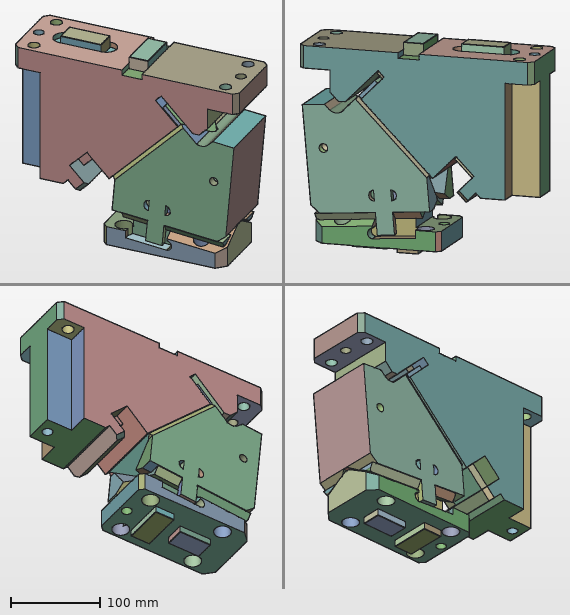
import cadquery as cq
import math


HALF_WIDTH = 42.5
OVERALL_LENGTH = 277.0
OVERALL_HEIGHT = 243.0
KEY_PROJECTION = 8.5
KEY_CHAMFER = 0.5
CROSS_KEY_HALF = 25.0
LONG_KEY_HALF = 12.0

FLANGE_TOP = OVERALL_HEIGHT - KEY_PROJECTION
FLANGE_THICKNESS = 26.0
FLANGE_BOTTOM = FLANGE_TOP - FLANGE_THICKNESS
FLANGE_CHAMFER = 6.0
HOUSING_BOTTOM = 74.1
TONGUE_LENGTH = 33.0
TONGUE_HALF = 17.5
NOSE_X = 240.0
NOSE_CORNER_Z = 183.4
NOSE_CHAMFER = 10.0
KEY_SEAT_DEPTH = 6.5
CROSS_KEY_START = 135.0
CROSS_KEY_END = 158.5
CROSS_SEAT_CLEARANCE = 0.6
LONG_KEY_START = 44.3
LONG_KEY_END = 94.5
LONG_SEAT_START = 30.6
LONG_SEAT_END = 108.0
LONG_SEAT_WIDTH = 25.0
SCREW_DIAMETER = 13.5
DOWEL_DIAMETER = 12.0
SCREW_OFFSET_Y = 30.0
SCREW_INSETS = (19.7, 20.3)
DOWEL_INSETS = (12.0, 15.3)

GUIDE_ANGLE = math.radians(45)
GUIDE_X = 125.4
GUIDE_Z = 93.1
GUIDE_LENGTH = 119.7
GUIDE_GAP = 4.7
VEE_SLOPE = 0.90
EDGE_BEVEL_ANGLE = math.radians(60)
VEE_HALF = HALF_WIDTH - GUIDE_GAP / math.tan(EDGE_BEVEL_ANGLE)
VEE_FLAT_HALF = 3.0
STRIP_HALF = 41.0
CORE_HALF = 22.0
HOUSING_FACE_START = -5.1
SLOT_START = GUIDE_LENGTH - GUIDE_GAP
SLOT_END = SLOT_START + 10.0
POCKET_START = -35.3
POCKET_DEPTH = 43.5
CORE_DEPTH = 32.0
BEAK_TIP = 13.4
BEAK_THICKNESS = 15.0
BEAK_ROOT = 31.5
BEAK_CHAMFER = 4.9

TILT = math.radians(5)
SLIDER_X = 122.0
SLIDER_Z = 54.1
SLIDER_RUN = 140.4
SLIDER_RISE = 125.0
SLIDER_CORNER = 10.0
SLIDER_TOP_RUN = 114.1
RELIEF_START = (240.0, 162.5)
RELIEF_MIDDLE = (233.1, 159.8)
RELIEF_END_PAST_GUIDE = -23.4
CROSS_HOLE = (247.7, 118.3)
CROSS_HOLE_DIAMETER = 10.0
CROSS_HOLE_DEPTH = 10.0
DRILL_POINT_ANGLE = math.radians(118)
WEAR_PLATE_START = 11.6
WEAR_PLATE_END = 137.0
WEAR_PLATE_TOP_HALF = 41.5
WEAR_PLATE_BOTTOM_HALF = 35.2
WEAR_PLATE_CLEARANCE = 2.2
WEAR_PLATE_FILLET = 3.5
FRONT_CLEARANCE = 6.5
LEG_START = 44.0
LEG_WIDTH = 20.4
LEG_BOTTOM = -26.0
LEG_THICKNESS = 7.3
LEG_SEAT_RADIUS = 6.2
LEG_SEAT_RISE = 19.5

DRIVER_START = 109.7
DRIVER_END = 260.0
BASE_BOTTOM = KEY_PROJECTION
BASE_TOP = 31.5
BASE_FRONT_CHAMFER = 5.4
BASE_REAR_CHAMFER = 10.5
ROOF_START = 142.6
ROOF_SLOPE = math.tan(math.radians(30))
ROOF_FLAT_HALF = 3.0
ROOF_RISE = 7.5
LEG_POCKET_HALF = 29.2
LEG_POCKET_START = 19.6
LEG_POCKET_FLOOR = -30.0
LEG_POCKET_RADIUS = 6.0
LEG_POCKET_CENTRE_RUN = 69.8
LEG_POCKET_WALL_X = 190.0
BASE_SCREW_DIAMETER = 20.0
BASE_SCREWS_X = (131.0, 228.0)
BASE_SCREW_OFFSET_Y = 30.0
BASE_DOWEL_X = 119.0
BASE_CROSS_KEY = (141.4, 166.2)
BASE_LONG_KEY = (183.0, 224.0)

CLEAR = 200.0


def guide_point(along, off):
    """Global X, Z of a point given along and off the inclined guide."""
    c = math.cos(GUIDE_ANGLE)
    s = math.sin(GUIDE_ANGLE)
    return (GUIDE_X + along * c - off * s, GUIDE_Z + along * s + off * c)


def tilted_point(run, rise):
    """Global X, Z of a point given in the slider's tilted axes."""
    c = math.cos(TILT)
    s = math.sin(TILT)
    return (SLIDER_X + run * c + rise * s, SLIDER_Z - run * s + rise * c)


def side_plate(points, half_width):
    """Prism of an X-Z outline, centred on Y = 0."""
    return cq.Workplane("XZ").polyline(points).close().extrude(half_width, both=True)


def guide_prism(section, start, end):
    """Prism of a (Y, off) section running along the inclined guide."""
    x, z = guide_point(start, 0)
    direction = (math.cos(GUIDE_ANGLE), 0, math.sin(GUIDE_ANGLE))
    plane = cq.Plane(origin=(x, 0, z), xDir=(0, 1, 0), normal=direction)
    return cq.Workplane(plane).polyline(section).close().extrude(end - start)


def tilted_prism(section, start, end):
    """Prism of a (Y, rise) section running along the tilted lower guide."""
    x, z = tilted_point(start, 0)
    direction = (math.cos(TILT), 0, -math.sin(TILT))
    plane = cq.Plane(origin=(x, 0, z), xDir=(0, 1, 0), normal=direction)
    return cq.Workplane(plane).polyline(section).close().extrude(end - start)


def block(x_range, half_width, z_range):
    """Box between two X and two Z limits, centred on Y = 0."""
    length = x_range[1] - x_range[0]
    height = z_range[1] - z_range[0]
    start = cq.Workplane("XY", origin=(x_range[0], 0, z_range[0]))
    return start.box(length, 2 * half_width, height, centered=(False, True, False))


def drill(x, y, diameter):
    """Vertical cylinder long enough to pass through any body."""
    return cq.Workplane("XY").center(x, y).circle(diameter / 2).extrude(OVERALL_HEIGHT)


def vee_section():
    """Closed section of the vee guide, from its flat bottom up to the housing face."""
    bottom = GUIDE_GAP - (VEE_HALF - VEE_FLAT_HALF) * VEE_SLOPE
    return [
        (-VEE_HALF, GUIDE_GAP),
        (-VEE_FLAT_HALF, bottom),
        (VEE_FLAT_HALF, bottom),
        (VEE_HALF, GUIDE_GAP),
    ]


def roof_section(half_width, floor, lift=0.0):
    """Closed section under the roof-shaped lower guide, down to the given floor."""
    ridge = ROOF_RISE + lift
    eave = ridge - (half_width - ROOF_FLAT_HALF) * ROOF_SLOPE
    return [
        (-half_width, floor),
        (-half_width, eave),
        (-ROOF_FLAT_HALF, ridge),
        (ROOF_FLAT_HALF, ridge),
        (half_width, eave),
        (half_width, floor),
    ]


def housing_profile():
    nose_bottom = NOSE_CORNER_Z - NOSE_CHAMFER
    slot_x, slot_z = guide_point(SLOT_END, 0)
    slot_mouth_x = slot_x + (slot_z - nose_bottom) * math.tan(GUIDE_ANGLE)
    heel = guide_point(POCKET_START - BEAK_THICKNESS, BEAK_ROOT)
    heel_drop = heel[1] - HOUSING_BOTTOM
    return [
        (0, HOUSING_BOTTOM),
        (0, FLANGE_TOP),
        (OVERALL_LENGTH, FLANGE_TOP),
        (OVERALL_LENGTH, FLANGE_BOTTOM),
        (NOSE_X, FLANGE_BOTTOM),
        (NOSE_X, NOSE_CORNER_Z),
        (NOSE_X - NOSE_CHAMFER, nose_bottom),
        (slot_mouth_x, nose_bottom),
        guide_point(SLOT_END, POCKET_DEPTH),
        guide_point(SLOT_START, POCKET_DEPTH),
        guide_point(SLOT_START, GUIDE_GAP),
        guide_point(HOUSING_FACE_START, GUIDE_GAP),
        guide_point(HOUSING_FACE_START, POCKET_DEPTH),
        guide_point(POCKET_START, POCKET_DEPTH),
        guide_point(POCKET_START, BEAK_TIP),
        guide_point(POCKET_START - BEAK_THICKNESS, BEAK_TIP),
        heel,
        (heel[0] - heel_drop, HOUSING_BOTTOM),
    ]


def housing_core():
    """Inner material that fills the blind ends of the slot and pocket, and the male vee."""
    fillings = (
        (SLOT_START, SLOT_END, CORE_DEPTH, POCKET_DEPTH, CORE_HALF),
        (SLOT_START, GUIDE_LENGTH, GUIDE_GAP, CORE_DEPTH, STRIP_HALF),
        (POCKET_START, HOUSING_FACE_START, CORE_DEPTH, POCKET_DEPTH, CORE_HALF),
    )
    core = guide_prism(vee_section(), 0, GUIDE_LENGTH)
    for start, end, low, high, half in fillings:
        section = [(-half, low), (half, low), (half, high), (-half, high)]
        core = core.union(guide_prism(section, start, end))
    return core


def beak_chamfers():
    cuts = cq.Workplane("XY")
    for side in (-1, 1):
        section = [
            (side * HALF_WIDTH, BEAK_TIP),
            (side * (HALF_WIDTH - BEAK_CHAMFER), BEAK_TIP),
            (side * HALF_WIDTH, BEAK_TIP + BEAK_CHAMFER),
        ]
        cuts = cuts.add(guide_prism(section, POCKET_START - BEAK_THICKNESS, POCKET_START))
    return cuts.combine()


def make_housing():
    body = side_plate(housing_profile(), HALF_WIDTH)
    plan = block((0, OVERALL_LENGTH), HALF_WIDTH, (0, OVERALL_HEIGHT))
    body = body.intersect(plan.edges("|Z").chamfer(FLANGE_CHAMFER))

    recess = block((0, TONGUE_LENGTH), HALF_WIDTH, (0, FLANGE_BOTTOM))
    tongue = block((0, TONGUE_LENGTH), TONGUE_HALF, (0, FLANGE_BOTTOM))
    body = body.cut(recess.cut(tongue))

    body = body.cut(beak_chamfers()).union(housing_core())

    seat_floor = FLANGE_TOP - KEY_SEAT_DEPTH
    cross_seat = (CROSS_KEY_START - CROSS_SEAT_CLEARANCE, CROSS_KEY_END + CROSS_SEAT_CLEARANCE)
    body = body.cut(block(cross_seat, HALF_WIDTH, (seat_floor, OVERALL_HEIGHT)))
    long_seat = (
        cq.Workplane("XY", origin=((LONG_SEAT_START + LONG_SEAT_END) / 2, 0, seat_floor))
        .slot2D(LONG_SEAT_END - LONG_SEAT_START, LONG_SEAT_WIDTH)
        .extrude(OVERALL_HEIGHT - seat_floor)
    )
    body = body.cut(long_seat)
    for x_range, half in (
        ((CROSS_KEY_START, CROSS_KEY_END), CROSS_KEY_HALF),
        ((LONG_KEY_START, LONG_KEY_END), LONG_KEY_HALF),
    ):
        key = block(x_range, half, (seat_floor, OVERALL_HEIGHT))
        body = body.union(key.faces(">Z").edges().chamfer(KEY_CHAMFER))

    for x in (SCREW_INSETS[0], OVERALL_LENGTH - SCREW_INSETS[1]):
        for side in (-1, 1):
            body = body.cut(drill(x, side * SCREW_OFFSET_Y, SCREW_DIAMETER))
    for x in (DOWEL_INSETS[0], OVERALL_LENGTH - DOWEL_INSETS[1]):
        body = body.cut(drill(x, 0, DOWEL_DIAMETER))
    return body


def slider_blank():
    return (
        cq.Workplane("XZ")
        .moveTo(*tilted_point(0, 0))
        .lineTo(*tilted_point(SLIDER_RUN - SLIDER_CORNER, 0))
        .lineTo(*tilted_point(SLIDER_RUN, SLIDER_CORNER))
        .lineTo(*tilted_point(SLIDER_RUN, SLIDER_RISE))
        .lineTo(*tilted_point(SLIDER_TOP_RUN, SLIDER_RISE))
        .lineTo(*RELIEF_START)
        .threePointArc(RELIEF_MIDDLE, guide_point(GUIDE_LENGTH, RELIEF_END_PAST_GUIDE))
        .lineTo(*guide_point(GUIDE_LENGTH, GUIDE_GAP))
        .lineTo(*guide_point(0, GUIDE_GAP))
        .lineTo(GUIDE_X, GUIDE_Z)
        .close()
        .extrude(HALF_WIDTH, both=True)
    )


def slider_wear_plate():
    ridge = ROOF_RISE + WEAR_PLATE_CLEARANCE
    bottom = ridge - (WEAR_PLATE_BOTTOM_HALF - ROOF_FLAT_HALF) * ROOF_SLOPE
    section = [
        (-WEAR_PLATE_TOP_HALF, 0),
        (-WEAR_PLATE_BOTTOM_HALF, bottom),
        (WEAR_PLATE_BOTTOM_HALF, bottom),
        (WEAR_PLATE_TOP_HALF, 0),
    ]
    plate = tilted_prism(section, WEAR_PLATE_START, WEAR_PLATE_END)
    return plate.edges("|Y").edges("<Z").fillet(WEAR_PLATE_FILLET)


def leg_side(side):
    """The leg on one side of the slider, and the round-ended seat behind its upper end."""
    outer_y = side * HALF_WIDTH
    x, z = tilted_point(LEG_START + LEG_WIDTH / 2, 0)
    run_direction = (math.cos(TILT), 0, -math.sin(TILT))
    plane = cq.Plane(origin=(x, outer_y, z), xDir=run_direction, normal=(0, -1, 0))
    depth = side * LEG_THICKNESS
    top = LEG_SEAT_RISE + LEG_SEAT_RADIUS
    leg = (
        cq.Workplane(plane)
        .center(0, (top + LEG_BOTTOM) / 2)
        .rect(LEG_WIDTH, top - LEG_BOTTOM)
        .extrude(depth)
    )
    seat = (
        cq.Workplane(plane)
        .center(0, LEG_SEAT_RISE)
        .slot2D(LEG_WIDTH + 2 * LEG_SEAT_RADIUS, 2 * LEG_SEAT_RADIUS)
        .extrude(depth)
    )
    return leg, seat


def cross_hole(side):
    """Blind hole with a conical drill point, entering one side of the slider."""
    radius = CROSS_HOLE_DIAMETER / 2
    point = radius / math.tan(DRILL_POINT_ANGLE / 2)
    mouth = cq.Vector(CROSS_HOLE[0], side * HALF_WIDTH, CROSS_HOLE[1])
    inward = cq.Vector(0, -side, 0)
    bore = cq.Solid.makeCylinder(radius, CROSS_HOLE_DEPTH, mouth, inward)
    tip = cq.Solid.makeCone(radius, 0, point, mouth + inward * CROSS_HOLE_DEPTH, inward)
    return bore.fuse(tip)


def make_slider():
    body = slider_blank().union(slider_wear_plate())
    body = body.cut(guide_prism(vee_section(), -CLEAR, CLEAR))
    for side in (-1, 1):
        bevel = [(side * HALF_WIDTH, 0), (side * HALF_WIDTH, GUIDE_GAP), (side * VEE_HALF, GUIDE_GAP)]
        body = body.cut(guide_prism(bevel, -CLEAR, CLEAR))
    floor = -HALF_WIDTH
    plate_cut = roof_section(WEAR_PLATE_BOTTOM_HALF, floor, WEAR_PLATE_CLEARANCE)
    body = body.cut(tilted_prism(plate_cut, -CLEAR, CLEAR))
    front_cut = roof_section(HALF_WIDTH, floor, FRONT_CLEARANCE)
    body = body.cut(tilted_prism(front_cut, -CLEAR, WEAR_PLATE_START))
    for side in (-1, 1):
        leg, seat = leg_side(side)
        body = body.cut(seat).union(leg)
        body = body.cut(cross_hole(side))
    return body


def leg_pocket():
    """Open-topped recesses for both slider legs, each with a round far end."""
    pocket = side_plate(
        [
            tilted_point(LEG_POCKET_START, LEG_POCKET_FLOOR),
            tilted_point(LEG_POCKET_CENTRE_RUN, LEG_POCKET_FLOOR),
            (LEG_POCKET_WALL_X, tilted_point(LEG_POCKET_CENTRE_RUN, LEG_POCKET_FLOOR)[1]),
            (LEG_POCKET_WALL_X, CLEAR),
            (tilted_point(LEG_POCKET_START, LEG_POCKET_FLOOR)[0], CLEAR),
        ],
        HALF_WIDTH,
    )
    round_end = (
        cq.Workplane("XZ")
        .center(*tilted_point(LEG_POCKET_CENTRE_RUN, LEG_POCKET_FLOOR + LEG_POCKET_RADIUS))
        .circle(LEG_POCKET_RADIUS)
        .extrude(HALF_WIDTH, both=True)
    )
    core = block((DRIVER_START, DRIVER_END), LEG_POCKET_HALF, (0, CLEAR))
    return pocket.union(round_end).cut(core)


def make_driver():
    pad = block((DRIVER_START, ROOF_START), HALF_WIDTH, (BASE_BOTTOM, BASE_TOP))
    upright = block((ROOF_START, DRIVER_END), HALF_WIDTH, (BASE_BOTTOM, CLEAR))
    upright = upright.intersect(tilted_prism(roof_section(HALF_WIDTH, -CLEAR), -CLEAR, CLEAR))
    plan = block((DRIVER_START, DRIVER_END), HALF_WIDTH, (0, CLEAR))
    plan = plan.edges("|Z and <X").chamfer(BASE_FRONT_CHAMFER)
    plan = plan.edges("|Z and >X").chamfer(BASE_REAR_CHAMFER)
    body = pad.union(upright).intersect(plan).cut(leg_pocket())
    for x in BASE_SCREWS_X:
        for side in (-1, 1):
            body = body.cut(drill(x, side * BASE_SCREW_OFFSET_Y, BASE_SCREW_DIAMETER))
    body = body.cut(drill(BASE_DOWEL_X, 0, DOWEL_DIAMETER))
    for x_range, half in ((BASE_CROSS_KEY, CROSS_KEY_HALF), (BASE_LONG_KEY, LONG_KEY_HALF)):
        key = block(x_range, half, (0, BASE_BOTTOM))
        body = body.union(key.faces("<Z").edges().chamfer(KEY_CHAMFER))
    return body


housing = make_housing()
slider = make_slider()
driver = make_driver()

result = cq.Compound.makeCompound([*housing.vals(), *slider.vals(), *driver.vals()])